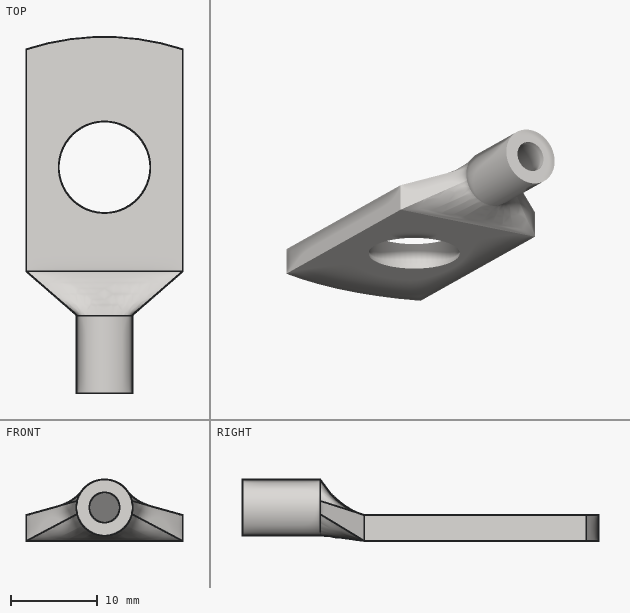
import cadquery as cq
import math

total_length = 41.0
palm_width = 18.0
palm_thickness = 3.0
palm_start = 14.02
palm_side_end = 39.55
hole_diameter = 10.5
hole_y = 26.0

overall_height = 7.1
barrel_diameter = 6.48
barrel_length = 8.95
bore_diameter = 3.5
barrel_axis_z = overall_height - barrel_diameter / 2

corner_angle = math.radians(13.6)
crown_power = 2.5
edge_spans = 12
neck_spans = 4


def palm():
    """Flat plate with a shallow curved end and a bolt hole."""
    half_width = palm_width / 2
    plate = (
        cq.Workplane("XY")
        .moveTo(-half_width, palm_start)
        .lineTo(half_width, palm_start)
        .lineTo(half_width, palm_side_end)
        .threePointArc((0, total_length), (-half_width, palm_side_end))
        .close()
        .extrude(palm_thickness)
    )
    bolt_hole = cq.Workplane("XY").center(0, hole_y).circle(hole_diameter / 2).extrude(palm_thickness)
    return plate.cut(bolt_hole)


def blend(start, end, fraction):
    return start + (end - start) * fraction


def neck_edge_points(side, fraction):
    """Points from -X to +X along the upper (side = 1) or lower (side = -1) edge of a neck section.

    The section is the palm rectangle at fraction 0 and the barrel circle at fraction 1.
    Corners and underside run straight between the two; the upper crown rises late.
    """
    y = blend(palm_start, barrel_length, fraction)
    radius = barrel_diameter / 2
    palm_z = palm_thickness if side > 0 else 0
    corner_z = barrel_axis_z + side * radius * math.sin(corner_angle)
    crown_fraction = fraction ** crown_power if side > 0 else fraction
    points = []
    for i in range(edge_spans + 1):
        position = i / edge_spans
        angle = blend(math.pi - corner_angle, corner_angle, position)
        x = blend(blend(-palm_width / 2, palm_width / 2, position), radius * math.cos(angle), fraction)
        crown_height = barrel_axis_z + side * radius * math.sin(angle) - corner_z
        z = blend(palm_z, corner_z, fraction) + crown_height * crown_fraction
        points.append(cq.Vector(x, y, z))
    return points


def neck_section(fraction):
    """Closed section with curved upper and lower edges and straight sides."""
    upper = neck_edge_points(1, fraction)
    lower = neck_edge_points(-1, fraction)
    return cq.Wire.assembleEdges([
        cq.Edge.makeSpline(upper),
        cq.Edge.makeLine(upper[-1], lower[-1]),
        cq.Edge.makeSpline(lower[::-1]),
        cq.Edge.makeLine(lower[0], upper[0]),
    ])


def neck():
    """Loft from the rectangular end of the palm to the round barrel."""
    sections = [neck_section(i / neck_spans) for i in range(neck_spans + 1)]
    return cq.Workplane(cq.Solid.makeLoft(sections))


def barrel_cylinder(diameter):
    return cq.Workplane("XZ").center(0, barrel_axis_z).circle(diameter / 2).extrude(-barrel_length)


barrel = barrel_cylinder(barrel_diameter).cut(barrel_cylinder(bore_diameter))
result = palm().union(neck()).union(barrel)